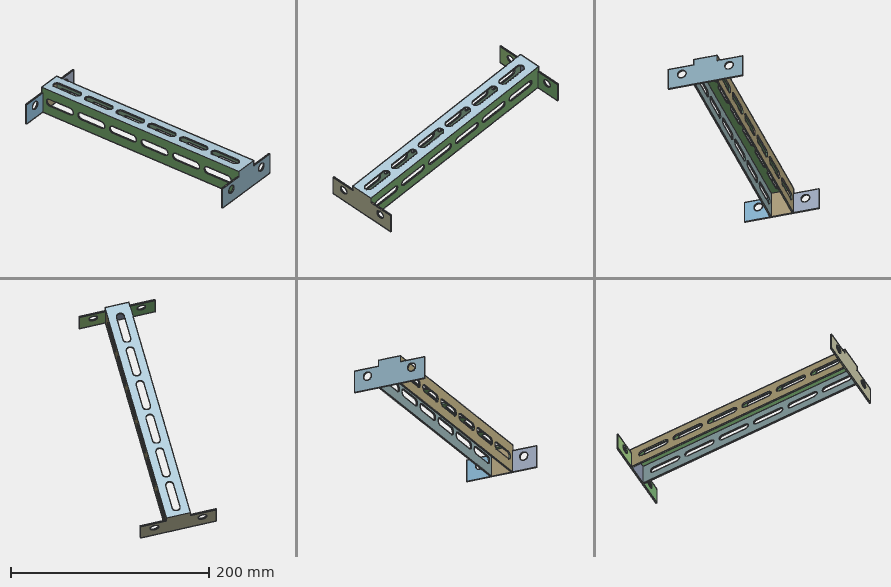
import cadquery as cq

length = 250.0
width = 79.0
height = 30.0
sheet = 1.5

channel_width = 25.0

ear_height = 23.5
ear_hole_diameter = 9.0
ear_hole_spacing = 50.0

slot_count = 6
slot_pitch = 40.0
slot_length = 34.0
slot_width = 8.0
first_slot_center = 23.0

hole_height = height / 2


def block(size_x, size_y, size_z, x_start=0.0):
    """Box standing on Z = 0, centred on Y, starting at x_start."""
    box = cq.Workplane("XY").box(size_x, size_y, size_z, centered=(False, True, False))
    return box.translate((x_start, 0, 0))


def make_channel():
    """Top web with two side walls."""
    inside = block(length, channel_width - 2 * sheet, height - sheet)
    return block(length, channel_width, height).cut(inside)


def make_end_plate(x_start):
    """Plate closing the channel end, with a drilled ear on each side."""
    ears = block(sheet, width, ear_height, x_start)
    channel_cover = block(sheet, channel_width, height, x_start)
    holes = (
        cq.Workplane("YZ", origin=(x_start, 0, hole_height))
        .pushPoints([(-ear_hole_spacing / 2, 0), (ear_hole_spacing / 2, 0)])
        .circle(ear_hole_diameter / 2)
        .extrude(sheet)
    )
    return ears.union(channel_cover).cut(holes)


def make_slot_row(plane, base_height, depth):
    """Row of slot cutters along X, reaching depth on both sides of the plane."""
    centers = [(i * slot_pitch, 0) for i in range(slot_count)]
    return (
        cq.Workplane(plane, origin=(first_slot_center, 0, base_height))
        .pushPoints(centers)
        .slot2D(slot_length, slot_width)
        .extrude(depth, both=True)
    )


top_slots = make_slot_row("XY", height, sheet)
side_slots = make_slot_row("XZ", hole_height, channel_width / 2)

result = make_channel().cut(top_slots).cut(side_slots)
for plate_start in (0, length - sheet):
    result = result.union(make_end_plate(plate_start))